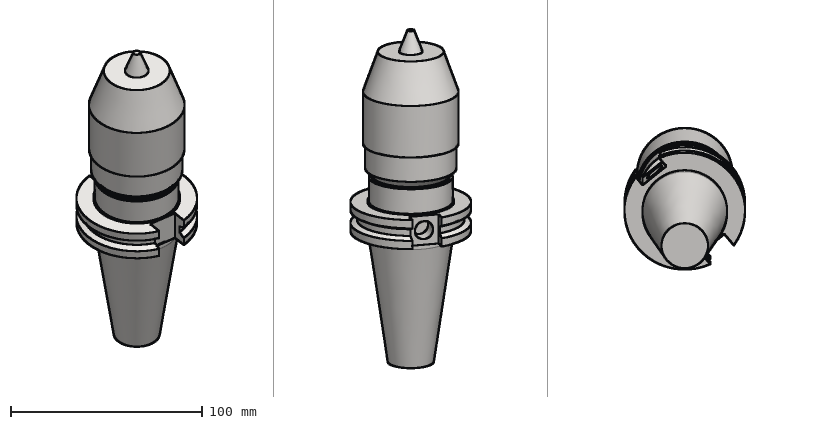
import cadquery as cq

GAUGE_Z = 68.4
FLANGE_BOTTOM_Z = 71.6
FLANGE_TOP_Z = 87.7
NECK_TOP_Z = 101.5
COLLAR_BOTTOM_Z = 106.2
SLEEVE_BOTTOM_Z = 119.8
SLEEVE_SHOULDER_Z = 148.2
HEAD_FACE_Z = 170.2
TIP_Z = 181.8

TAPER_END_RADIUS = 12.2
GAUGE_RADIUS = 22.2
FLANGE_RADIUS = 31.6
NECK_RADIUS = 22.0
NECK_STEP_RADIUS = 22.7
NECK_STEP_HEIGHT = 0.4

GROOVE_RADIUS = 28.2
GROOVE_FLOOR_WIDTH = 3.6
GROOVE_MOUTH_WIDTH = 7.0

SLOT_WIDTH = 16.0
LEFT_FLOOR_X = 25.0
RIGHT_FLOOR_X = 22.7
SLOT_HOLE_DIAMETER = 9.8
SLOT_HOLE_DEPTH = 9.1

HEAD_SEAT_RADIUS = 20.4
HEAD_SEAT_HEIGHT = 0.7
COLLAR_RADIUS = 24.0
SLEEVE_RADIUS = 25.1
HEAD_FACE_RADIUS = 17.3
NOSE_RADIUS = 6.2
TIP_RADIUS = 1.8

FLANGE_MID_Z = (FLANGE_BOTTOM_Z + FLANGE_TOP_Z) / 2
FLANGE_HEIGHT = FLANGE_TOP_Z - FLANGE_BOTTOM_Z


def revolve_profile(points):
    """Turn a closed (radius, height) outline around the Z axis."""
    return cq.Workplane("XZ").polyline(points).close().revolve(360, (0, 0, 0), (0, 1, 0))


def make_drive_slot(side, floor_x):
    """Slot cutter on the +X (side = 1) or -X (side = -1) edge of the flange."""
    length = FLANGE_RADIUS
    center_x = side * (floor_x + length / 2)
    return cq.Workplane("XY").box(length, SLOT_WIDTH, FLANGE_HEIGHT).translate((center_x, 0, FLANGE_MID_Z))


def make_slot_hole():
    """Blind round hole cutter going inward from the floor of the -X slot."""
    return (
        cq.Workplane("YZ", origin=(-LEFT_FLOOR_X, 0, FLANGE_MID_Z))
        .circle(SLOT_HOLE_DIAMETER / 2)
        .extrude(SLOT_HOLE_DEPTH)
    )


def make_holder():
    step_top_z = FLANGE_TOP_Z + NECK_STEP_HEIGHT
    body = revolve_profile([
        (0, 0),
        (TAPER_END_RADIUS, 0),
        (GAUGE_RADIUS, GAUGE_Z),
        (GAUGE_RADIUS, FLANGE_BOTTOM_Z),
        (FLANGE_RADIUS, FLANGE_BOTTOM_Z),
        (FLANGE_RADIUS, FLANGE_MID_Z - GROOVE_MOUTH_WIDTH / 2),
        (GROOVE_RADIUS, FLANGE_MID_Z - GROOVE_FLOOR_WIDTH / 2),
        (GROOVE_RADIUS, FLANGE_MID_Z + GROOVE_FLOOR_WIDTH / 2),
        (FLANGE_RADIUS, FLANGE_MID_Z + GROOVE_MOUTH_WIDTH / 2),
        (FLANGE_RADIUS, FLANGE_TOP_Z),
        (NECK_STEP_RADIUS, FLANGE_TOP_Z),
        (NECK_STEP_RADIUS, step_top_z),
        (NECK_RADIUS, step_top_z),
        (NECK_RADIUS, NECK_TOP_Z),
        (0, NECK_TOP_Z),
    ])
    for side, floor_x in ((-1, LEFT_FLOOR_X), (1, RIGHT_FLOOR_X)):
        body = body.cut(make_drive_slot(side, floor_x))
    return body.cut(make_slot_hole())


def make_chuck_head():
    """Collar, tapered sleeve and pointed nose, seated on top of the neck."""
    return revolve_profile([
        (0, NECK_TOP_Z),
        (HEAD_SEAT_RADIUS, NECK_TOP_Z),
        (HEAD_SEAT_RADIUS, NECK_TOP_Z + HEAD_SEAT_HEIGHT),
        (COLLAR_RADIUS, COLLAR_BOTTOM_Z),
        (COLLAR_RADIUS, SLEEVE_BOTTOM_Z),
        (SLEEVE_RADIUS, SLEEVE_BOTTOM_Z),
        (SLEEVE_RADIUS, SLEEVE_SHOULDER_Z),
        (HEAD_FACE_RADIUS, HEAD_FACE_Z),
        (NOSE_RADIUS, HEAD_FACE_Z),
        (TIP_RADIUS, TIP_Z),
        (0, TIP_Z),
    ])


holder = make_holder()
chuck_head = make_chuck_head()
result = cq.Compound.makeCompound([holder.val(), chuck_head.val()])